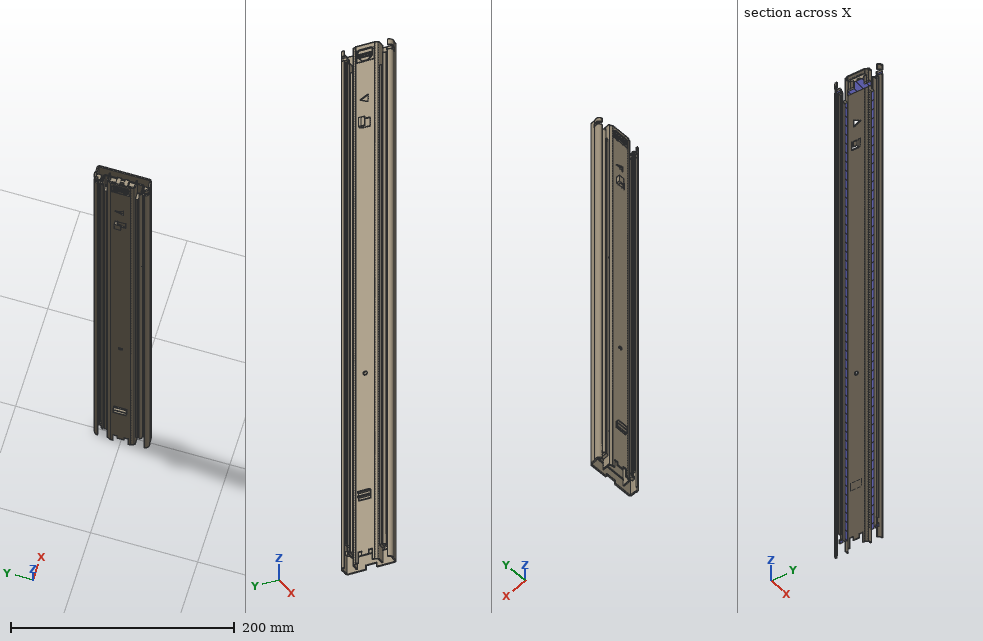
import cadquery as cq
import math


LENGTH = 550.0

OUTER_HALF_WIDTH = 26.0
OUTER_FRONT = -6.0
OUTER_BACK = 6.5
OUTER_BULGE_RADIUS = 4.1
OUTER_SHEET = 1.4
OUTER_CORNER_RADIUS = 2.5

MIDDLE_HALF_WIDTH = 19.0
MIDDLE_FRONT = -5.5
MIDDLE_BACK = 5.0
MIDDLE_BULGE_RADIUS = 2.5
MIDDLE_SHEET = 1.0
MIDDLE_CORNER_RADIUS = 1.9
MIDDLE_BOTTOM = 15.0
MIDDLE_TOP = 538.0

MIDDLE_TAB_X = (-3.0, 0.0)
MIDDLE_TAB_TIP_Y = 21.5
MIDDLE_TAB_HEIGHT = 4.0

BULGE_END_ANGLE = math.radians(30)

INNER_FRONT = -7.0
INNER_STEP = 1.4
INNER_CROWN_HALF_WIDTH = 9.5
INNER_HALF_WIDTH = 13.0
INNER_SHEET = 1.0
INNER_CORNER_RADIUS = 0.8
INNER_LEG_END = 2.0

CAGE_FRONT = -5.0
CAGE_BACK = 1.5
CAGE_CHAMFER = 0.5
OUTER_CAGE_Y = (20.0, 21.5)
OUTER_CAGE_Z = (25.5, MIDDLE_TOP)
INNER_CAGE_Y = (INNER_HALF_WIDTH, 16.0)
INNER_CAGE_Z = (MIDDLE_BOTTOM, 525.0)

SIDE_SLOT_Z = (539.5, 544.5)
SIDE_SLOT_BACK = 1.0
SIDE_SLOT_INNER_Y = 21.0
SIDE_FINGER_FRONT = -4.0
SIDE_FINGER_Y = (20.0, 25.5)
SIDE_FINGER_GAP = 1.0

HOOK_TIP = 10.5
HOOK_HALF_WIDTH = 10.0
HOOK_CORNER_CHAMFER = 1.5
UPPER_HOOK_Z = (506.0, 524.5)
UPPER_HOOK_SLOT_Z = (518.0, 520.5)
UPPER_HOOK_SLOT_FLOOR = 8.0
LOWER_HOOK_Z = (59.0, 72.5)
LOWER_HOOK_TIP = 9.0
LOWER_HOOK_LIP = 1.5

LUG_TIP = -10.5
UPPER_LUG_Z = (462.0, 471.5)
UPPER_LUG_STEM_Y = (3.0, 5.0)
UPPER_LUG_PLATE_Y = (-1.0, 5.0)
UPPER_LUG_PLATE_THICKNESS = 1.0
UPPER_WINDOW_Y = (-5.0, 3.0)
LOWER_LUG_FRONT = -8.0
LOWER_LUG_Z = (65.5, 74.0)
LOWER_LUG_HALF_WIDTH = 6.0
LOWER_RIB_HEIGHT = 1.0
LOWER_RIB_BOTTOMS = (67.5, 72.5)
ARROW_POINT = (5.0, 492.0)
ARROW_BACK_Y = -3.0
ARROW_HALF_HEIGHT = 4.0
ROUND_HOLE_DIAMETER = 4.0
ROUND_HOLE_Z = 200.0

OUTER_NOTCH_HALF_WIDTH = 5.5
OUTER_NOTCH_HEIGHT = 4.5
INNER_NOTCH_HALF_WIDTH = 7.0
INNER_NOTCH_HEIGHT = 7.0
NOTCH_EAR_INNER_Y = 3.5
NOTCH_EAR_HEIGHT = 11.5

STOP_Z = (532.5, 545.5)
STOP_PLATE_HALF_WIDTH = 9.0
STOP_PLATE_BACK = -3.5
STOP_BASE_TOP = 538.0
STOP_BLOCK_HALF_WIDTH = 5.5
STOP_BLOCK_BACK = 2.0
STOP_NOTCH_HALF_WIDTH = 1.5
STOP_NOTCH_DEPTH = 1.5
STOP_WINDOW_CHAMFER = 3.0
STOP_NOSE_HALF_WIDTH = 7.0
STOP_NOSE_TAPER = 4.5
STOP_NOSE_BEVEL = 0.8
STOP_NOSE_MARGIN = 0.5
STOP_GROOVE_DEPTH = 0.5
STOP_GROOVE_HEIGHT = 1.0
STOP_GROOVE_BOTTOMS = (537.0, 539.5)


def box(x_range, y_range, z_range):
    """Box between the given limits."""
    size = [abs(end - start) for start, end in (x_range, y_range, z_range)]
    corner = (min(x_range), min(y_range), min(z_range))
    return cq.Workplane("XY").box(*size, centered=False).translate(corner)


def mid_box(x_range, half_width, z_range):
    """Box that is symmetric about Y = 0."""
    return box(x_range, (-half_width, half_width), z_range)


def both_sides(side):
    """The +Y shape together with its mirror image."""
    return side.union(side.mirror("XZ"))


def bulged_channel(half_width, front, back, bulge_radius, sheet, corner_radius, z_range):
    """C-shaped rail whose side walls bulge outwards and curl in at the front."""
    arc_x = front + bulge_radius
    arc_y = half_width - bulge_radius
    middle_angle = (BULGE_END_ANGLE - math.pi / 2) / 2

    def on_arc(radius, angle):
        return arc_x + radius * math.sin(angle), arc_y + radius * math.cos(angle)

    inside_radius = bulge_radius - sheet
    outside_end = on_arc(bulge_radius, BULGE_END_ANGLE)
    inside_end = on_arc(inside_radius, BULGE_END_ANGLE)
    wall_y = outside_end[1]
    half = (
        cq.Workplane("XY", origin=(0, 0, z_range[0]))
        .moveTo(back, 0)
        .lineTo(back, wall_y)
        .lineTo(*outside_end)
        .threePointArc(on_arc(bulge_radius, middle_angle), (front, arc_y))
        .lineTo(front + sheet, arc_y)
        .threePointArc(on_arc(inside_radius, middle_angle), inside_end)
        .lineTo(outside_end[0], wall_y - sheet)
        .lineTo(back - sheet, wall_y - sheet)
        .lineTo(back - sheet, 0)
        .close()
        .extrude(z_range[1] - z_range[0])
    )
    back_corner = cq.selectors.BoxSelector(
        (back - sheet / 2, wall_y - sheet / 2, z_range[0]),
        (back + sheet / 2, wall_y + sheet / 2, z_range[1]),
    )
    half = half.edges("|Z").edges(back_corner).fillet(corner_radius)
    return both_sides(half)


def make_outer_rail():
    rail = bulged_channel(
        OUTER_HALF_WIDTH, OUTER_FRONT, OUTER_BACK, OUTER_BULGE_RADIUS,
        OUTER_SHEET, OUTER_CORNER_RADIUS, (0, LENGTH),
    )
    slot_bottom, slot_top = SIDE_SLOT_Z
    side_finger = box(
        (SIDE_FINGER_FRONT, SIDE_SLOT_BACK),
        SIDE_FINGER_Y,
        (slot_bottom + SIDE_FINGER_GAP, slot_top - SIDE_FINGER_GAP),
    )
    side_slot = box(
        (OUTER_FRONT, SIDE_SLOT_BACK), (SIDE_SLOT_INNER_Y, OUTER_HALF_WIDTH), SIDE_SLOT_Z
    )
    notch = mid_box((0, OUTER_BACK), OUTER_NOTCH_HALF_WIDTH, (0, OUTER_NOTCH_HEIGHT))
    rail = rail.cut(both_sides(side_slot)).cut(notch).union(both_sides(side_finger))

    upper_hook = mid_box((OUTER_BACK, HOOK_TIP), HOOK_HALF_WIDTH, UPPER_HOOK_Z)
    upper_hook = upper_hook.edges(">X and |Z").chamfer(HOOK_CORNER_CHAMFER)
    upper_slot = mid_box((UPPER_HOOK_SLOT_FLOOR, HOOK_TIP), HOOK_HALF_WIDTH, UPPER_HOOK_SLOT_Z)

    lower_hook = mid_box((OUTER_BACK, LOWER_HOOK_TIP), HOOK_HALF_WIDTH, LOWER_HOOK_Z)
    lip_z = (LOWER_HOOK_Z[0], LOWER_HOOK_Z[0] + LOWER_HOOK_LIP)
    lower_lip = mid_box((OUTER_BACK, HOOK_TIP), HOOK_HALF_WIDTH, lip_z)
    return rail.union(upper_hook.cut(upper_slot)).union(lower_hook).union(lower_lip)


def make_middle_rail():
    rail = bulged_channel(
        MIDDLE_HALF_WIDTH, MIDDLE_FRONT, MIDDLE_BACK, MIDDLE_BULGE_RADIUS,
        MIDDLE_SHEET, MIDDLE_CORNER_RADIUS, (MIDDLE_BOTTOM, MIDDLE_TOP),
    )
    tab = box(
        MIDDLE_TAB_X,
        (MIDDLE_HALF_WIDTH - MIDDLE_SHEET, MIDDLE_TAB_TIP_Y),
        (MIDDLE_BOTTOM, MIDDLE_BOTTOM + MIDDLE_TAB_HEIGHT),
    )
    return rail.union(both_sides(tab))


def inner_channel():
    """Hat-shaped channel with a raised crown along its middle."""
    shoulder = INNER_FRONT + INNER_STEP
    crown_y = INNER_CROWN_HALF_WIDTH
    slope_end_y = INNER_HALF_WIDTH - INNER_CORNER_RADIUS
    half = (
        cq.Workplane("XY")
        .moveTo(INNER_FRONT, 0)
        .lineTo(INNER_FRONT, crown_y)
        .lineTo(shoulder, slope_end_y)
        .radiusArc((shoulder + INNER_CORNER_RADIUS, INNER_HALF_WIDTH), INNER_CORNER_RADIUS)
        .lineTo(INNER_LEG_END, INNER_HALF_WIDTH)
        .lineTo(INNER_LEG_END, INNER_HALF_WIDTH - INNER_SHEET)
        .lineTo(shoulder + INNER_SHEET, INNER_HALF_WIDTH - INNER_SHEET)
        .lineTo(INNER_FRONT + INNER_SHEET, crown_y)
        .lineTo(INNER_FRONT + INNER_SHEET, 0)
        .close()
        .extrude(LENGTH)
    )
    return both_sides(half)


def stop_window():
    """Window in the inner rail's crown for the end stop."""
    window = mid_box((INNER_FRONT, INNER_FRONT + INNER_SHEET), STOP_PLATE_HALF_WIDTH, STOP_Z)
    return window.edges(">Z and |X").chamfer(STOP_WINDOW_CHAMFER)


def make_inner_rail():
    crown = (INNER_FRONT, INNER_FRONT + INNER_SHEET)

    rail = inner_channel().cut(box(crown, UPPER_WINDOW_Y, UPPER_LUG_Z))
    stem = box((LUG_TIP, crown[1]), UPPER_LUG_STEM_Y, UPPER_LUG_Z)
    plate = box((LUG_TIP, LUG_TIP + UPPER_LUG_PLATE_THICKNESS), UPPER_LUG_PLATE_Y, UPPER_LUG_Z)
    rail = rail.union(stem).union(plate)

    rail = rail.union(mid_box((LOWER_LUG_FRONT, crown[1]), LOWER_LUG_HALF_WIDTH, LOWER_LUG_Z))
    for rib_bottom in LOWER_RIB_BOTTOMS:
        rib_z = (rib_bottom, rib_bottom + LOWER_RIB_HEIGHT)
        rail = rail.union(mid_box((LUG_TIP, LOWER_LUG_FRONT), LOWER_LUG_HALF_WIDTH, rib_z))

    arrow_z = ARROW_POINT[1]
    arrow = (
        cq.Workplane("YZ", origin=(INNER_FRONT, 0, 0))
        .polyline([
            ARROW_POINT,
            (ARROW_BACK_Y, arrow_z + ARROW_HALF_HEIGHT),
            (ARROW_BACK_Y, arrow_z - ARROW_HALF_HEIGHT),
        ])
        .close()
        .extrude(INNER_SHEET)
    )
    round_hole = (
        cq.Workplane("YZ", origin=(INNER_FRONT, 0, ROUND_HOLE_Z))
        .circle(ROUND_HOLE_DIAMETER / 2)
        .extrude(INNER_SHEET)
    )
    rail = rail.cut(arrow).cut(round_hole)

    ear = box(crown, (NOTCH_EAR_INNER_Y, INNER_NOTCH_HALF_WIDTH), (0, NOTCH_EAR_HEIGHT))
    notch = mid_box(crown, INNER_NOTCH_HALF_WIDTH, (0, INNER_NOTCH_HEIGHT))
    rail = rail.cut(notch).cut(both_sides(ear))
    return rail.cut(stop_window())


def make_ball_cage(y_range, z_range):
    """Ball cage strip on the +Y side."""
    strip = box((CAGE_FRONT, CAGE_BACK), y_range, z_range)
    return strip.edges("|Z").chamfer(CAGE_CHAMFER)


def make_end_stop():
    plate_front = INNER_FRONT + INNER_SHEET
    plate = mid_box((plate_front, STOP_PLATE_BACK), STOP_PLATE_HALF_WIDTH, STOP_Z)

    base = mid_box(
        (STOP_PLATE_BACK, MIDDLE_BACK - MIDDLE_SHEET),
        INNER_HALF_WIDTH - INNER_SHEET,
        (STOP_Z[0], STOP_BASE_TOP),
    )

    block_z = (STOP_BASE_TOP, STOP_Z[1])
    block = mid_box((STOP_PLATE_BACK, STOP_BLOCK_BACK), STOP_BLOCK_HALF_WIDTH, block_z)
    for notch_x in (
        (STOP_PLATE_BACK, STOP_PLATE_BACK + STOP_NOTCH_DEPTH),
        (STOP_BLOCK_BACK - STOP_NOTCH_DEPTH, STOP_BLOCK_BACK),
    ):
        block = block.cut(mid_box(notch_x, STOP_NOTCH_HALF_WIDTH, block_z))

    nose_z = (STOP_Z[0] + STOP_NOSE_MARGIN, STOP_Z[1] - STOP_NOSE_MARGIN)
    nose = mid_box((INNER_FRONT, plate_front), STOP_NOSE_HALF_WIDTH, nose_z)
    nose = nose.edges("<Z and |X").chamfer(STOP_NOSE_TAPER)
    nose = nose.edges(">Z and <X").chamfer(STOP_NOSE_BEVEL)
    nose = nose.intersect(stop_window())
    for groove_bottom in STOP_GROOVE_BOTTOMS:
        groove_z = (groove_bottom, groove_bottom + STOP_GROOVE_HEIGHT)
        groove_x = (INNER_FRONT, INNER_FRONT + STOP_GROOVE_DEPTH)
        nose = nose.cut(mid_box(groove_x, STOP_NOSE_HALF_WIDTH, groove_z))
    return plate.union(base).union(block).union(nose)


outer_rail = make_outer_rail()
middle_rail = make_middle_rail()
inner_rail = make_inner_rail()
end_stop = make_end_stop()

ball_cages = []
for cage_y, cage_z in ((OUTER_CAGE_Y, OUTER_CAGE_Z), (INNER_CAGE_Y, INNER_CAGE_Z)):
    cage = make_ball_cage(cage_y, cage_z)
    ball_cages.append(cage.val())
    ball_cages.append(cage.mirror("XZ").val())

result = cq.Compound.makeCompound(
    [outer_rail.val(), middle_rail.val(), inner_rail.val(), end_stop.val(), *ball_cages]
)